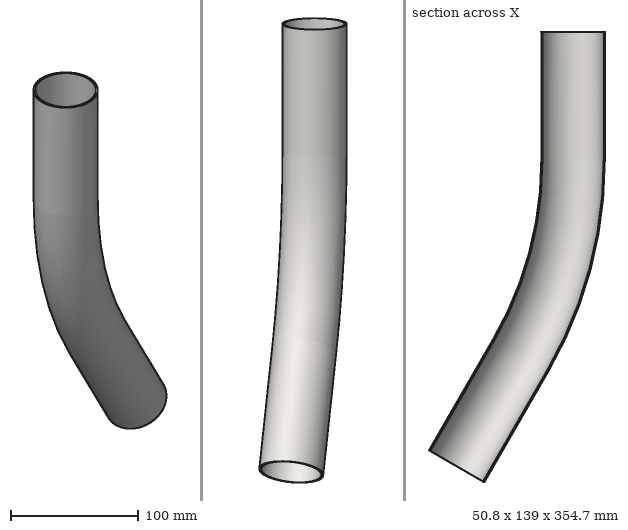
import cadquery as cq
import math

outer_diameter = 50.8
bore_diameter = 47.6
leg_length = 101.6
bend_radius = 6 * outer_diameter
bend_angle = 30.0


def bend_point(angle):
    """Centreline point (y, z) at an angle in degrees past the start of the bend."""
    turn = math.radians(angle)
    return (bend_radius * (1 - math.cos(turn)), -bend_radius * math.sin(turn))


def centreline():
    """Path from the top opening down through the bend, which leans toward +Y."""
    bend_end_y, bend_end_z = bend_point(bend_angle)
    lean = math.radians(bend_angle)
    bottom = (bend_end_y + leg_length * math.sin(lean), bend_end_z - leg_length * math.cos(lean))
    return (
        cq.Workplane("YZ")
        .moveTo(0, leg_length)
        .lineTo(0, 0)
        .threePointArc(bend_point(bend_angle / 2), (bend_end_y, bend_end_z))
        .lineTo(*bottom)
    )


def tube():
    """Ring section swept along the centreline, open at both ends."""
    top_opening = cq.Workplane("XY").workplane(offset=leg_length)
    ring = top_opening.circle(outer_diameter / 2).circle(bore_diameter / 2)
    return ring.sweep(centreline())


result = tube()